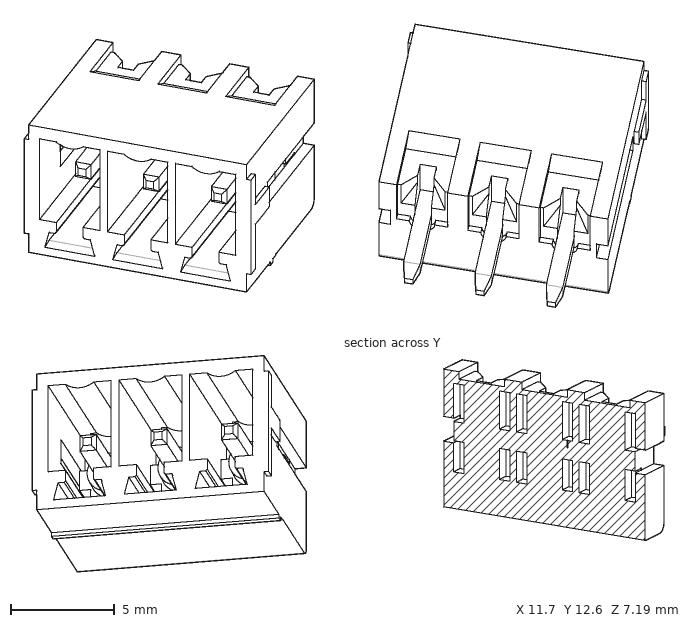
import cadquery as cq


contact_count = 3
pitch = 3.5
contact_xs = [(i - (contact_count - 1) / 2) * pitch for i in range(contact_count)]

overall_width = 11.7
wing_thickness = 0.23
body_width = overall_width - 2 * wing_thickness
body_depth = 9.2
body_height = 7.0
heel_radius = 0.44
heel_start = 4.01
heel_lift = 0.05

rib_start = 3.21
rib_depth = 0.38
rib_height = 0.19

overall_depth = 12.6
pin_size = 0.81
pin_tip_size = 0.4
pin_front = 1.66
tail_taper = 0.81
nose_taper = 0.2
pin_z = 3.96
collar_base_radius = 1.0
collar_tip_radius = 0.97
collar_front = 5.9

cavity_width = 3.11
cavity_floor = 1.92
cavity_roof = 6.35
cavity_depth = 6.8
key_chord = 1.41
key_drop = 0.24
pocket_width = 0.55
pocket_back = 8.01
band_height = 1.0

neck_width = 1.37
neck_chamfer = 0.08
dovetail_top = 1.3
dovetail_floor = 0.44
dovetail_top_width = 2.13
dovetail_floor_width = 2.57
dovetail_depth = 6.3
ramp_depth = 0.49
ramp_rise = 0.14

wing_depth = 0.62
wing_bottom = 1.01
wing_top = 6.2
tongue_depth = 2.5
tongue_bottom = 3.46
tongue_top = 4.55
slot_front = 2.84
slot_bottom = 3.38
slot_top = 4.6

recess_width = 2.51
recess_drop = 0.38
recess_ramp_front = 6.05
recess_ramp_back = 6.85
rear_notch_front = 8.92
rear_hole_radius = 0.62
funnel_width = 2.17
funnel_slope_drop = 1.64
pin_slot_front = 7.6


def block(x_range, y_range, z_range):
    """Box given by its lower and upper limit along each axis."""
    (x0, x1), (y0, y1), (z0, z1) = x_range, y_range, z_range
    return cq.Workplane("XY").box(x1 - x0, y1 - y0, z1 - z0, centered=False).translate((x0, y0, z0))


def centered_block(width, y_range, z_range):
    """Box centred on X = 0."""
    return block((-width / 2, width / 2), y_range, z_range)


def extrude_back(outline, y_start, y_end):
    """Extrude an XZ outline from y_start to y_end."""
    return outline.extrude(y_start - y_end).translate((0, y_start, 0))


def side_profile(points, width):
    """Prism centred on X = 0 from a closed outline of (y, z) points."""
    return cq.Workplane("YZ").polyline(points).close().extrude(width / 2, both=True)


def make_housing():
    body = centered_block(body_width, (0, body_depth), (0, body_height))
    body = body.cut(centered_block(body_width, (heel_start, body_depth), (0, heel_lift)))
    body = body.faces(">Y").edges("<Z").fillet(heel_radius)
    rib = centered_block(body_width, (rib_start, rib_start + rib_depth), (-rib_height, heel_lift))
    wing = centered_block(overall_width, (0, wing_depth), (wing_bottom, wing_top))
    tongue = centered_block(overall_width, (0, tongue_depth), (tongue_bottom, tongue_top))
    return body.union(rib).union(wing).union(tongue)


def cavity_cut():
    """Mating cavity with its keyed roof and the four corner pockets in its back wall."""
    half = cavity_width / 2
    outline = (
        cq.Workplane("XZ")
        .moveTo(-half, cavity_floor)
        .lineTo(half, cavity_floor)
        .lineTo(half, cavity_roof)
        .lineTo(key_chord / 2, cavity_roof)
        .threePointArc((0, cavity_roof - key_drop), (-key_chord / 2, cavity_roof))
        .lineTo(-half, cavity_roof)
        .close()
    )
    cut = extrude_back(outline, 0, cavity_depth)
    band_bottom = pin_z - band_height / 2
    band_top = pin_z + band_height / 2
    for x_range in ((-half, -half + pocket_width), (half - pocket_width, half)):
        for z_range in ((cavity_floor, band_bottom), (band_top, cavity_roof)):
            cut = cut.union(block(x_range, (cavity_depth, pocket_back), z_range))
    return cut


def channel_cut():
    """Neck opening from the cavity into a dovetail with a short ramp at its mouth."""
    half_neck = neck_width / 2
    neck_outline = cq.Workplane("XZ").polyline([
        (-half_neck, cavity_floor),
        (-half_neck, dovetail_top + neck_chamfer),
        (-half_neck - neck_chamfer, dovetail_top),
        (half_neck + neck_chamfer, dovetail_top),
        (half_neck, dovetail_top + neck_chamfer),
        (half_neck, cavity_floor),
    ]).close()
    dovetail_outline = cq.Workplane("XZ").polyline([
        (-dovetail_top_width / 2, dovetail_top),
        (-dovetail_floor_width / 2, dovetail_floor),
        (dovetail_floor_width / 2, dovetail_floor),
        (dovetail_top_width / 2, dovetail_top),
    ]).close()
    floor_wedge = side_profile([
        (0, dovetail_floor),
        (ramp_depth, dovetail_floor + ramp_rise),
        (dovetail_depth, dovetail_floor + ramp_rise),
        (dovetail_depth, dovetail_floor),
    ], dovetail_floor_width)
    dovetail = extrude_back(dovetail_outline, 0, dovetail_depth).cut(floor_wedge)
    return extrude_back(neck_outline, 0, cavity_depth).union(dovetail)


def rear_cut():
    """Ramped top recess, rear notch, funnel and pin slot behind one contact."""
    recess_floor = body_height - recess_drop
    recess = side_profile([
        (recess_ramp_front, body_height),
        (recess_ramp_back, recess_floor),
        (body_depth, recess_floor),
        (body_depth, body_height),
    ], recess_width)
    notch = centered_block(recess_width, (rear_notch_front, body_depth), (pin_z, body_height))
    hole_outline = cq.Workplane("XZ").center(0, pin_z).circle(rear_hole_radius)
    hole = extrude_back(hole_outline, rear_notch_front, body_depth)
    funnel_front = rear_notch_front - funnel_width / 2
    funnel = (
        cq.Workplane("XY", origin=(0, 0, recess_floor))
        .polyline([
            (-funnel_width / 2, rear_notch_front),
            (0, funnel_front),
            (funnel_width / 2, rear_notch_front),
        ])
        .close()
        .extrude(-funnel_slope_drop)
    )
    funnel_slope = side_profile([
        (funnel_front, recess_floor),
        (funnel_front, recess_floor - funnel_slope_drop),
        (rear_notch_front, recess_floor - funnel_slope_drop),
    ], funnel_width)
    pin_slot = centered_block(pin_size, (pin_slot_front, body_depth), (pin_z, recess_floor))
    return recess.union(notch).union(hole).union(funnel.cut(funnel_slope)).union(pin_slot)


def side_slots():
    """Slots in both side walls, as deep as the outer walls of the end cavities."""
    cavity_side = contact_xs[-1] + cavity_width / 2
    right = block(
        (cavity_side, body_width / 2),
        (slot_front, body_depth),
        (slot_bottom, slot_top),
    )
    return right.union(right.mirror("YZ"))


def pin_taper(y_base, y_tip):
    """Square pin end narrowing from y_base to y_tip."""
    return (
        cq.Workplane("XZ", origin=(0, y_base, pin_z))
        .rect(pin_size, pin_size)
        .workplane(offset=y_base - y_tip)
        .rect(pin_tip_size, pin_tip_size)
        .loft(ruled=True)
    )


def make_contact():
    """Square pin, pointed at both ends, with the collar around it."""
    shank_range = (pin_front + nose_taper, overall_depth - tail_taper)
    shank = centered_block(pin_size, shank_range, (pin_z - pin_size / 2, pin_z + pin_size / 2))
    collar = cq.Workplane(cq.Solid.makeCone(
        collar_base_radius,
        collar_tip_radius,
        cavity_depth - collar_front,
        cq.Vector(0, cavity_depth, pin_z),
        cq.Vector(0, -1, 0),
    ))
    pin = shank.union(pin_taper(shank_range[0], pin_front))
    pin = pin.union(pin_taper(shank_range[1], overall_depth))
    return pin.union(collar)


result = make_housing().cut(side_slots())
for x in contact_xs:
    for cut in (cavity_cut(), channel_cut(), rear_cut()):
        result = result.cut(cut.translate((x, 0, 0)))
for x in contact_xs:
    result = result.union(make_contact().translate((x, 0, 0)))